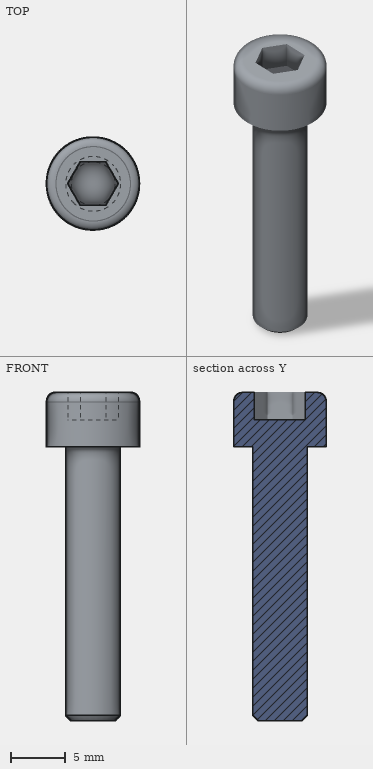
import cadquery as cq
import math

shank_diameter = 5.0
shank_length = 25.0
tip_chamfer = 0.5

head_diameter = 8.5
head_height = shank_diameter
head_fillet = 0.1 * head_diameter

socket_across_flats = 4.0
socket_across_corners = socket_across_flats / math.cos(math.radians(30))
socket_depth = head_height / 2


def make_head():
    """Cylindrical head with a rounded top rim."""
    head = cq.Workplane("XY").circle(head_diameter / 2).extrude(head_height)
    return head.faces(">Z").edges().fillet(head_fillet)


def make_shank():
    """Plain shank hanging below the head, chamfered at the tip."""
    shank = cq.Workplane("XY").circle(shank_diameter / 2).extrude(-shank_length)
    return shank.faces("<Z").edges().chamfer(tip_chamfer)


def make_socket():
    """Hexagonal key socket with two corners on the X axis."""
    top = cq.Workplane("XY").workplane(offset=head_height)
    return top.polygon(6, socket_across_corners).extrude(-socket_depth)


result = make_head().union(make_shank()).cut(make_socket())